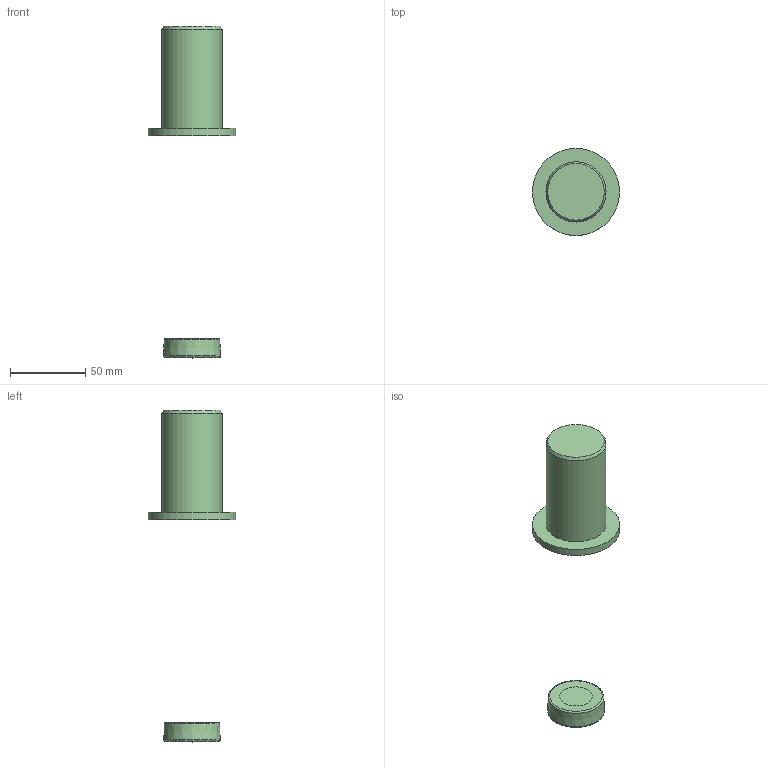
import cadquery as cq
import math

overall_height = 221.0

pin_height = 73.0
flange_radius = 58.0 / 2
flange_thickness = 5.0
shank_radius = 40.0 / 2
lead_in_height = 2.0
lead_in_angle = 30.0
lead_in_depth = lead_in_height * math.tan(math.radians(lead_in_angle))

button_height = 13.0
button_top_radius = 37.0 / 2
button_base_radius = 38.0 / 2
button_rim_fillet = 1.0
top_flat_radius = 22.0 / 2
top_dish_depth = 0.3
base_dome_rise = 0.4


def make_pin():
    """Round shank on a flange, with a tapered lead-in at the free end."""
    flange = cq.Workplane("XY").circle(flange_radius).extrude(flange_thickness)
    shank = (
        cq.Workplane("XY")
        .circle(shank_radius)
        .extrude(pin_height)
        .faces(">Z")
        .chamfer(lead_in_height, lead_in_depth)
    )
    return flange.union(shank).translate((0, 0, overall_height - pin_height))


def make_button():
    """Tapered disc with a domed underside and a shallow conical dish around a flat centre on top."""
    dish_floor_z = button_height - top_dish_depth
    dome_radius = (button_base_radius**2 + base_dome_rise**2) / (2 * base_dome_rise)
    body = (
        cq.Workplane("XZ")
        .radiusArc((button_base_radius, base_dome_rise), -dome_radius)
        .lineTo(button_top_radius, button_height)
        .lineTo(top_flat_radius, dish_floor_z)
        .lineTo(0, dish_floor_z)
        .close()
        .revolve(360, (0, 0, 0), (0, 1, 0))
    )
    base_rim = cq.selectors.RadiusNthSelector(2)
    top_rim = cq.selectors.RadiusNthSelector(1)
    return body.edges(base_rim).fillet(button_rim_fillet).edges(top_rim).fillet(button_rim_fillet)


pin = make_pin()
button = make_button()
result = cq.Compound.makeCompound([pin.val(), button.val()])